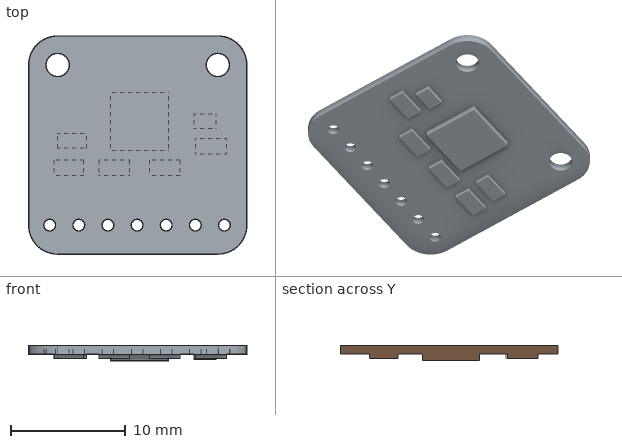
import cadquery as cq

pitch = 2.54
board_side = 19.05
total_height = 1.36
board_thickness = 0.8
corner_radius = pitch

mount_hole_diameter = 2.0
mount_offset = board_side / 2 - corner_radius

pin_count = 7
pin_hole_diameter = 1.0
pin_row_x = -0.06
pin_row_y = -mount_offset

ic_height = total_height - board_thickness
chip_height = 0.36
tall_chip_height = 0.43

ic_size = (5.04, 5.04)
chip_size = (2.69, 1.35)
corner_chip_size = (2.54, chip_size[1])
left_chip_size = (2.54, 1.27)
tall_chip_size = (1.95, 1.27)

ic_center = (0.15, 2.06)
front_row_y = -1.98
front_row_chip_xs = (-2.05, 2.36)
corner_chip_center = (-6.02, front_row_y)
left_chip_center = (-5.72, 0.37)
right_chip_center = (6.40, -0.11)
tall_chip_center = (5.87, ic_center[1])


def make_board():
    """Plate with rounded corners, two mounting holes and the pin row."""
    board = (
        cq.Workplane("XY")
        .rect(board_side, board_side)
        .extrude(board_thickness)
        .edges("|Z")
        .fillet(corner_radius)
    )
    mount_points = [(side * mount_offset, mount_offset) for side in (-1, 1)]
    first_pin_x = pin_row_x - pitch * (pin_count - 1) / 2
    pin_points = [(first_pin_x + i * pitch, pin_row_y) for i in range(pin_count)]
    board = drill(board, mount_points, mount_hole_diameter)
    return drill(board, pin_points, pin_hole_diameter)


def drill(body, points, diameter):
    """Cut through holes in the board at the given points."""
    holes = cq.Workplane("XY").pushPoints(points).circle(diameter / 2).extrude(board_thickness)
    return body.cut(holes)


def make_component(center, size, height):
    """Rectangular block hanging from the underside of the board."""
    return cq.Workplane("XY").center(*center).rect(*size).extrude(-height)


components = [
    (ic_center, ic_size, ic_height),
    (corner_chip_center, corner_chip_size, chip_height),
    (left_chip_center, left_chip_size, chip_height),
    (right_chip_center, chip_size, chip_height),
    (tall_chip_center, tall_chip_size, tall_chip_height),
]
for chip_x in front_row_chip_xs:
    components.append(((chip_x, front_row_y), chip_size, chip_height))

result = make_board()
for center, size, height in components:
    result = result.union(make_component(center, size, height))